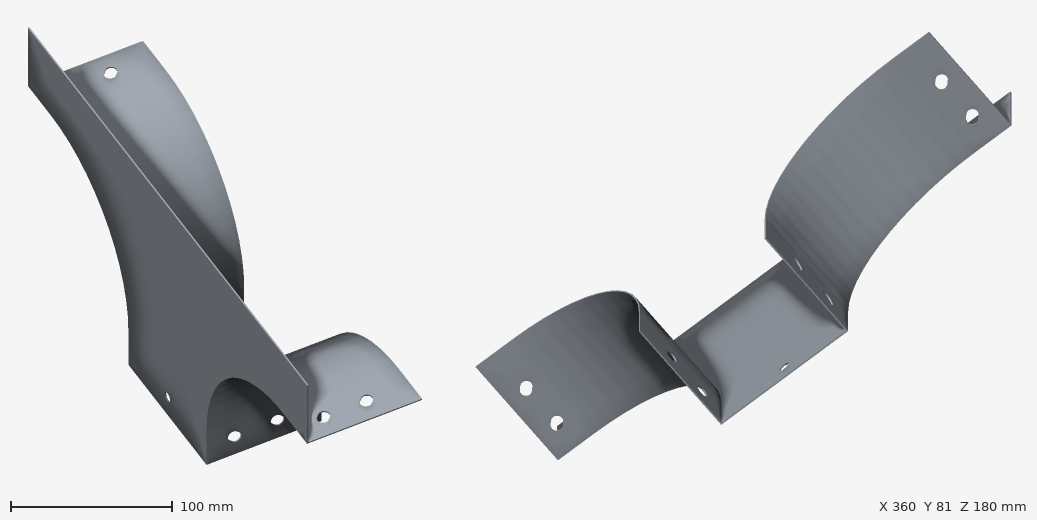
import cadquery as cq

length = 360.0
depth = 81.0
height = 180.0
sheet = 1.0

arm_height = 50.5
stem_width = 100.8
bend_radius = 100.0

hole_diameter = 7.0
hole_from_end = 15.0
slot_width = 7.5
slot_travel = 3.0
slot_angle = -45.0
first_slot_y = 19.8
slot_pitch = 30.2

half_length = length / 2
half_stem = stem_width / 2
arm_bottom = height - arm_height
bend_x = half_stem + bend_radius
bend_z = arm_bottom - bend_radius


def corner_path(sketch):
    """Trace the right inner corner of the web from the stem end to the arm end."""
    diagonal = bend_radius * 0.5 ** 0.5
    return (
        sketch.lineTo(half_stem, bend_z)
        .threePointArc((bend_x - diagonal, bend_z + diagonal), (bend_x, arm_bottom))
        .lineTo(half_length, arm_bottom)
    )


def extrude_back(profile, thickness):
    """Extrude an XZ profile from the front face toward +Y."""
    return profile.close().extrude(-thickness)


def make_web():
    outline = corner_path(cq.Workplane("XZ").moveTo(0, 0).lineTo(half_stem, 0))
    half = extrude_back(outline.lineTo(half_length, height).lineTo(0, height), sheet)
    return half.union(half.mirror("YZ"))


def make_right_flange():
    outer = corner_path(cq.Workplane("XZ").moveTo(half_stem, 0))
    diagonal = (bend_radius + sheet) * 0.5 ** 0.5
    profile = (
        outer.lineTo(half_length, arm_bottom + sheet)
        .lineTo(bend_x, arm_bottom + sheet)
        .threePointArc((bend_x - diagonal, bend_z + diagonal), (half_stem - sheet, bend_z))
        .lineTo(half_stem - sheet, 0)
    )
    return extrude_back(profile, depth)


def slot_cutter(points, angle, cut_depth):
    """Make slanted slots at the chosen points, extruded to both sides of the plane."""
    slot_length = slot_width + slot_travel
    return points.slot2D(slot_length, slot_width, angle).extrude(cut_depth, both=True)


flange = make_right_flange()
result = make_web().union(flange).union(flange.mirror("YZ"))

stem_hole = cq.Workplane("XZ").center(0, hole_from_end).circle(hole_diameter / 2).extrude(-sheet)
result = result.cut(stem_hole)

slot_rows = [first_slot_y, first_slot_y + slot_pitch]
arm_slot_x = half_length - hole_from_end
arm_slots = slot_cutter(
    cq.Workplane("XY", origin=(0, 0, arm_bottom)).pushPoints(
        [(side * arm_slot_x, y) for side in (-1, 1) for y in slot_rows]
    ),
    slot_angle,
    2 * sheet,
)
result = result.cut(arm_slots)

for side in (-1, 1):
    stem_slots = slot_cutter(
        cq.Workplane("YZ", origin=(side * half_stem, 0, 0)).pushPoints(
            [(y, hole_from_end) for y in slot_rows]
        ),
        side * slot_angle,
        2 * sheet,
    )
    result = result.cut(stem_slots)